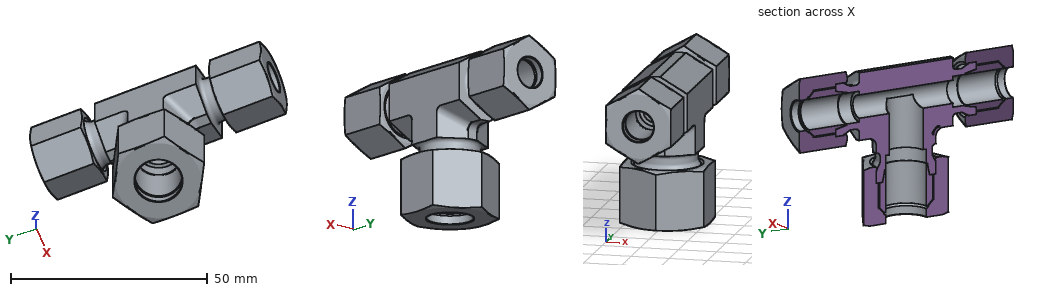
import cadquery as cq
import math


port_reach = 32.0
body_end = 21.0
neck_gap = 3.5
neck_flat = 1.35
neck_fillet = 1.0
thread_runout_angle = 30
tube_stop = 14.0
seat_half_angle = 12
seat_depth = 3.2
seat_lip = 0.95
nut_hole_length = 2.3
ring_back_step = 0.7
nut_hole_bevel = 0.2
nut_mouth_step = 0.25
nut_mouth_angle = 30
nut_face_inset = 0.1
nut_chamfer_angle = 15

RUN = dict(
    flats=17.0, nut_length=14.45, tube=8.0, bore=6.0, thread=14.0, thread_root=12.35,
    neck=11.7, collar=12.0,
)
BRANCH = dict(
    flats=22.0, nut_length=15.5, tube=12.0, bore=10.0, thread=18.0, thread_root=16.4,
    neck=15.7, collar=16.0,
)

block_flats = RUN["flats"]
block_height = 18.0
block_fillet = 2.0
mitre_tolerance = 0.005

PORTS = [(RUN, -90), (RUN, 90), (BRANCH, 180)]


def turn(shape, angle):
    """Turn a port shape about the X axis through the tee centre."""
    return shape.rotate((0, 0, 0), (1, 0, 0), angle)


def hexagon(flats, length):
    """Hexagonal prism along +Z with flats facing +X and -X."""
    corner_diameter = flats / math.cos(math.radians(30))
    return cq.Workplane("XY").polygon(6, corner_diameter).extrude(length).rotate((0, 0, 0), (0, 0, 1), 30)


def spin(points):
    """Solid of revolution about Z from (radius, z) points."""
    return cq.Workplane("XZ").polyline(points).close().revolve(360, (0, 0), (0, 1))


def nut_mouth(port):
    """Distance from the tee centre to the threaded end of the nut."""
    return port_reach - port["nut_length"]


def block_end(port):
    """Distance from the tee centre to the end face of the body block."""
    return nut_mouth(port) - neck_gap


def seat_mouth_radius(port):
    """Radius of the sealing cone at the end of the spigot."""
    return port["tube"] / 2 + seat_lip


def seat_bottom_radius(port):
    """Radius of the sealing cone at its inner end."""
    return seat_mouth_radius(port) - seat_depth * math.tan(math.radians(seat_half_angle))


def block_arm(length):
    """Hexagonal bar with the corners on the Y sides cut flat."""
    trim = cq.Workplane("XY").rect(2 * block_flats, block_height).extrude(length)
    return hexagon(block_flats, length).intersect(trim)


def on_inner_corner(edge):
    """True for the mitre edges where run and branch meet, in the planes z = y and z = -y."""
    middle = edge.Center()
    return middle.z < 0 and abs(abs(middle.y) + middle.z) < mitre_tolerance


def block():
    """Solid tee block with filleted inner corners."""
    run_length = 2 * block_end(RUN)
    run = turn(block_arm(run_length).translate((0, 0, -run_length / 2)), 90)
    branch = turn(block_arm(block_end(BRANCH)), 180)
    tee = run.union(branch).clean()
    corner_edges = [edge for edge in tee.edges().vals() if on_inner_corner(edge)]
    return tee.newObject(corner_edges).fillet(block_fillet)


def spigot(port):
    """Neck and thread envelope, starting inside the block."""
    neck = port["neck"] / 2
    thread = port["thread"] / 2
    face = block_end(port)
    angle = math.radians(thread_runout_angle)

    neck_start = face + neck_fillet
    neck_end = neck_start + neck_flat
    runout_start = neck_end + neck_fillet * math.sin(angle)
    runout_radius = neck + neck_fillet * (1 - math.cos(angle))
    runout_end = runout_start + (thread - runout_radius) / math.tan(angle)

    def arc_point(tangent_z, turn_angle):
        """Point on a neck fillet, turned away from where it meets the neck at tangent_z."""
        return (
            neck + neck_fillet * (1 - math.cos(turn_angle)),
            tangent_z + neck_fillet * math.sin(turn_angle),
        )

    profile = (
        cq.Workplane("XZ")
        .moveTo(0, 0)
        .lineTo(neck, 0)
        .lineTo(neck, face)
        .lineTo(neck + neck_fillet, face)
        .threePointArc(arc_point(neck_start, -math.pi / 4), (neck, neck_start))
        .lineTo(neck, neck_end)
        .threePointArc(arc_point(neck_end, angle / 2), (runout_radius, runout_start))
        .lineTo(thread, runout_end)
        .lineTo(thread, body_end)
        .lineTo(0, body_end)
        .close()
    )
    return profile.revolve(360, (0, 0), (0, 1))


def root_overhang(port):
    """Space around the block outline beside the fillet at the root of the neck."""
    face = block_end(port)
    slab = cq.Workplane("XY", origin=(0, 0, face)).circle(block_flats).extrude(neck_fillet)
    return slab.cut(block_arm(face + neck_fillet))


def port_bore(port):
    """Flow bore, tube socket and sealing cone of one port."""
    tube = port["tube"] / 2
    bore = port["bore"] / 2
    seat_start = body_end - seat_depth
    return spin([
        (0, 0), (bore, 0), (bore, tube_stop), (tube, tube_stop),
        (tube, seat_start), (seat_bottom_radius(port), seat_start),
        (seat_mouth_radius(port), body_end), (0, body_end),
    ])


def make_body():
    """Block with three spigots; each neck fillet is trimmed to the sides of the block."""
    body = block()
    for port, angle in PORTS:
        body = body.union(turn(spigot(port).cut(root_overhang(port)), angle))
    for port, angle in PORTS:
        body = body.cut(turn(port_bore(port), angle))
    return body


def make_cutting_ring(port):
    """Nose in the sealing cone of the body, back bevel against the cone of the nut."""
    tube = port["tube"] / 2
    collar = port["collar"] / 2
    nose_end = body_end - seat_depth
    back_radius = tube + ring_back_step
    back = port_reach - nut_hole_length - ring_back_step
    bevel_start = back - (collar - back_radius)
    return spin([
        (tube, nose_end), (seat_bottom_radius(port), nose_end),
        (seat_mouth_radius(port), body_end), (collar, body_end), (collar, bevel_start),
        (back_radius, back), (tube, back),
    ])


def nut_envelope(port):
    """Turned shape that bevels the corners of the hexagon at both ends."""
    face_radius = port["flats"] / 2 - nut_face_inset
    full_radius = port["flats"]
    drop = (full_radius - face_radius) * math.tan(math.radians(nut_chamfer_angle))
    start = nut_mouth(port)
    return spin([
        (0, start), (face_radius, start), (full_radius, start + drop),
        (full_radius, port_reach - drop), (face_radius, port_reach), (0, port_reach),
    ])


def nut_cavity(port):
    """Bore at the thread root with bevelled mouth, 45 degree cone and tube hole."""
    root = port["thread_root"] / 2
    mouth = port["thread"] / 2 + nut_mouth_step
    mouth_depth = (mouth - root) * math.tan(math.radians(nut_mouth_angle))
    hole = port["tube"] / 2
    start = nut_mouth(port)
    cone_end = port_reach - nut_hole_length
    cone_start = cone_end - (root - hole)
    return spin([
        (0, start), (mouth, start), (root, start + mouth_depth),
        (root, cone_start), (hole, cone_end), (hole, port_reach - nut_hole_bevel),
        (hole + nut_hole_bevel, port_reach), (0, port_reach),
    ])


def make_nut(port):
    """Hexagon nut; the threaded spigot of the body leaves its own matching recess in it."""
    blank = hexagon(port["flats"], port["nut_length"]).translate((0, 0, nut_mouth(port)))
    nut = blank.intersect(nut_envelope(port)).cut(nut_cavity(port))
    return nut.cut(spigot(port))


body = make_body()
cutting_rings = [turn(make_cutting_ring(port), angle) for port, angle in PORTS]
nuts = [turn(make_nut(port), angle) for port, angle in PORTS]

result = cq.Compound.makeCompound([
    body.val(),
    *[ring.val() for ring in cutting_rings],
    *[nut.val() for nut in nuts],
])